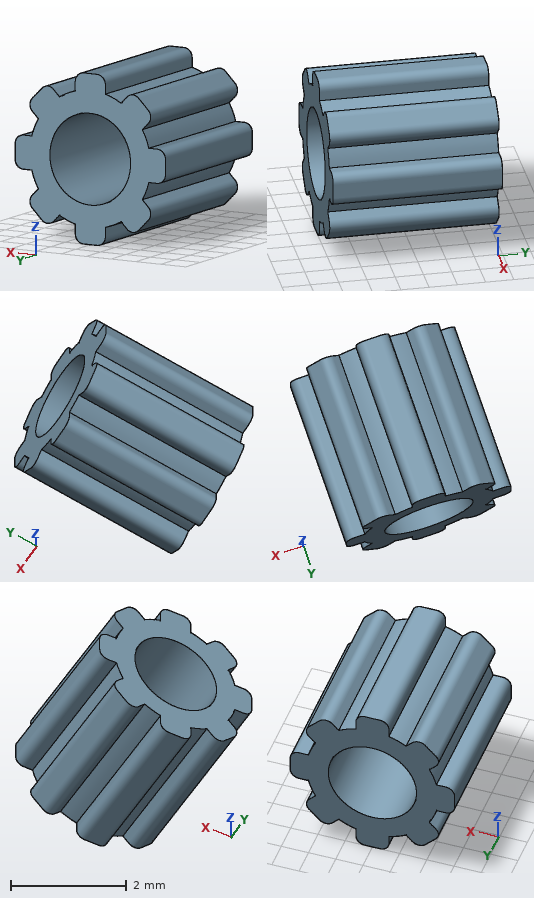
import cadquery as cq

outer_size = 3.02
length = 3.0
bore_diameter = 1.622
root_diameter = 2.428
tooth_count = 8
tooth_width = 0.605
tip_fillet = 0.165

tip_radius = outer_size / 2


def make_tooth(angle):
    """Flat-tipped tooth running from the axis outward, with rounded tip edges."""
    tooth = (
        cq.Workplane("XY")
        .box(tip_radius, length, tooth_width, centered=(False, True, True))
        .edges("|Y and >X")
        .fillet(tip_fillet)
    )
    return tooth.rotate((0, 0, 0), (0, 1, 0), angle)


def make_cylinder(diameter):
    """Full-length cylinder on the part's axis."""
    return cq.Workplane("XZ").circle(diameter / 2).extrude(length / 2, both=True)


sleeve = make_cylinder(root_diameter)
for index in range(tooth_count):
    sleeve = sleeve.union(make_tooth(index * 360 / tooth_count))

result = sleeve.cut(make_cylinder(bore_diameter))